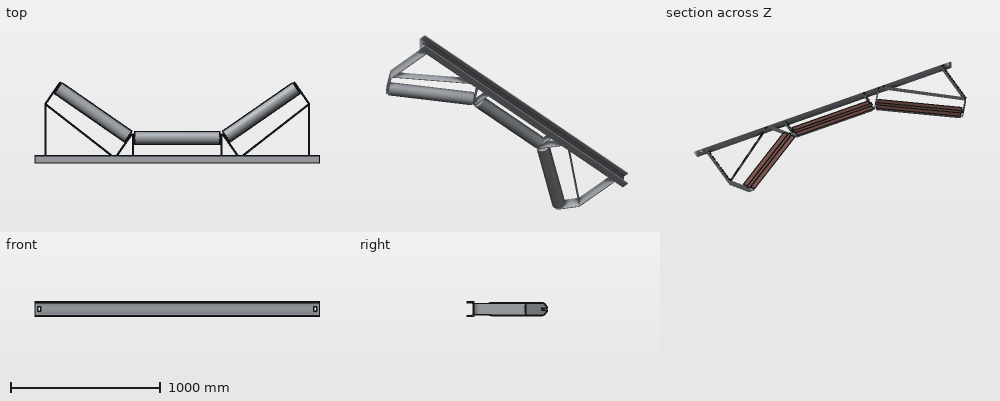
import cadquery as cq
import math

BEAM_LENGTH = 1900.0
BEAM_HEIGHT = 100.0
FLANGE_WIDTH = 50.0
BEAM_WALL = 8.5
BEAM_ROOT_RADIUS = 10.0
MOUNT_SLOT_WIDTH = 19.0
MOUNT_SLOT_HEIGHT = 28.0
MOUNT_SLOT_INSET = 30.0

ROLLER_DIAMETER = 90.0
ROLLER_LENGTH = 570.0
ROLLER_END_RADIUS = 5.0
SHAFT_DIAMETER = 17.0
TROUGH_ANGLE = 34.7
MIDDLE_ROLLER_Y = 118.0
SIDE_ROLLER_X = 560.0
SIDE_ROLLER_Y = 289.0

BAR_THICKNESS = 6.6
OUTER_BRACKET_WIDTH = 78.0
OUTER_TIP_CHAMFER = 27.0
INNER_BRACKET_WIDTH = 57.0
END_GAP = 5.0
INNER_BRACKET_TOP = 140.0
OUTER_BRACKET_X = 880.0
BRACE_WIDTH = 48.0
BRACE_FOOT_X = 437.0

LEG_OFFSET = ROLLER_LENGTH / 2 + END_GAP + BAR_THICKNESS / 2
SHAFT_LENGTH = 2 * LEG_OFFSET + BAR_THICKNESS

AXIS_X = math.cos(math.radians(TROUGH_ANGLE))
AXIS_Y = math.sin(math.radians(TROUGH_ANGLE))


def side_point(along, across):
    """XY point given by its distances along and square to the +X side roller's axis."""
    x = SIDE_ROLLER_X + along * AXIS_X - across * AXIS_Y
    y = SIDE_ROLLER_Y + along * AXIS_Y + across * AXIS_X
    return x, y


def side_leg_across(y, along):
    """Distance square to the +X side roller's axis at which the leg placed at `along` reaches y."""
    return (y - SIDE_ROLLER_Y - along * AXIS_Y) / AXIS_X


def on_side_roller(body, side):
    """Moves a body from the origin onto the side roller's axis (side is +1 or -1)."""
    turned = body.rotate((0, 0, 0), (0, 0, 1), side * TROUGH_ANGLE)
    return turned.translate((side * SIDE_ROLLER_X, SIDE_ROLLER_Y, 0))


def on_middle_roller(body):
    """Moves a body from the origin onto the middle roller's axis."""
    return body.translate((0, MIDDLE_ROLLER_Y, 0))


def cylinder_along_x(diameter, length):
    """Cylinder on the X axis, centred on the origin."""
    return cq.Workplane("YZ", origin=(-length / 2, 0, 0)).circle(diameter / 2).extrude(length)


def make_roller():
    """Roller with rounded ends, bored for its shaft."""
    bore = cylinder_along_x(SHAFT_DIAMETER, ROLLER_LENGTH)
    shell = cylinder_along_x(ROLLER_DIAMETER, ROLLER_LENGTH).edges("%CIRCLE").fillet(ROLLER_END_RADIUS)
    return shell.cut(bore)


def make_shaft():
    return cylinder_along_x(SHAFT_DIAMETER, SHAFT_LENGTH)


def shaft_slots():
    """Cutter for the open-topped slots in which the two ends of a shaft rest."""
    throat = cq.Workplane("XY").box(
        SHAFT_LENGTH, ROLLER_DIAMETER, SHAFT_DIAMETER, centered=(True, False, True)
    )
    return throat.union(make_shaft())


def bent_bar(points, width):
    """Flat bar that follows a centre line in XY, with mitred bends, centred on Z = 0."""
    headings = [math.atan2(b[1] - a[1], b[0] - a[0]) for a, b in zip(points, points[1:])]
    before = headings[:1] + headings
    after = headings + headings[-1:]
    edges = {1: [], -1: []}
    for (x, y), first, second in zip(points, before, after):
        normal = (first + second) / 2 + math.pi / 2
        reach = BAR_THICKNESS / 2 / math.cos((second - first) / 2)
        for edge in edges:
            edges[edge].append((x + edge * reach * math.cos(normal), y + edge * reach * math.sin(normal)))
    outline = edges[1] + edges[-1][::-1]
    return cq.Workplane("XY", origin=(0, 0, -width / 2)).polyline(outline).close().extrude(width)


def box_behind(depth, reach, height):
    """Box as long as the beam that starts at Y = -depth and reaches toward -Y, centred on Z = 0."""
    box = cq.Workplane("XY").box(BEAM_LENGTH, reach, height)
    return box.translate((0, -depth - reach / 2, 0))


def make_beam():
    """Channel with rounded roots and a mounting slot through the web near each end."""
    beam = box_behind(0, FLANGE_WIDTH, BEAM_HEIGHT)
    hollow = box_behind(BEAM_WALL, FLANGE_WIDTH, BEAM_HEIGHT - 2 * BEAM_WALL)
    beam = beam.cut(hollow.edges("|X and >Y").fillet(BEAM_ROOT_RADIUS))
    slot_x = BEAM_LENGTH / 2 - MOUNT_SLOT_INSET
    slots = (
        cq.Workplane("XZ")
        .pushPoints([(-slot_x, 0), (slot_x, 0)])
        .rect(MOUNT_SLOT_WIDTH, MOUNT_SLOT_HEIGHT)
        .extrude(FLANGE_WIDTH)
    )
    return beam.cut(slots)


def make_inner_bracket():
    """Folded bar that holds the middle roller and the lower end of the +X side roller."""
    foot = side_point(-LEG_OFFSET, side_leg_across(0, -LEG_OFFSET))
    bend = side_point(-LEG_OFFSET, side_leg_across(INNER_BRACKET_TOP, -LEG_OFFSET))
    path = [(LEG_OFFSET, 0), (LEG_OFFSET, INNER_BRACKET_TOP), bend, foot]
    return bent_bar(path, INNER_BRACKET_WIDTH)


def outer_bend():
    """Point where the +X outer bracket's upright meets its slanted leg."""
    leg_x = side_point(LEG_OFFSET, 0)[0]
    return side_point(LEG_OFFSET, (leg_x - OUTER_BRACKET_X) / AXIS_Y)


def make_outer_bracket():
    """Bent bar that holds the upper end of the +X side roller, with a chamfered tip."""
    tip = side_point(LEG_OFFSET, OUTER_BRACKET_WIDTH / 2)
    bar = bent_bar([(OUTER_BRACKET_X, 0), outer_bend(), tip], OUTER_BRACKET_WIDTH)
    return bar.faces(">Y").edges("#Z").edges(">Z or <Z").chamfer(OUTER_TIP_CHAMFER)


def make_brace():
    """Straight bar from the beam up to the bend of the +X outer bracket."""
    return bent_bar([(BRACE_FOOT_X, 0), outer_bend()], BRACE_WIDTH)


def make_frame():
    """Beam with the brackets and braces of both sides, slotted for the shafts."""
    supports = make_inner_bracket().union(make_outer_bracket()).union(make_brace())
    frame = make_beam().union(supports).union(supports.mirror("YZ"))
    frame = frame.cut(on_middle_roller(shaft_slots()))
    for side in (-1, 1):
        frame = frame.cut(on_side_roller(shaft_slots(), side))
    return frame


frame = make_frame()
rollers = [on_middle_roller(make_roller())]
shafts = [on_middle_roller(make_shaft())]
for side in (-1, 1):
    rollers.append(on_side_roller(make_roller(), side))
    shafts.append(on_side_roller(make_shaft(), side))

result = cq.Compound.makeCompound([frame.val(), *[body.val() for body in rollers + shafts]])